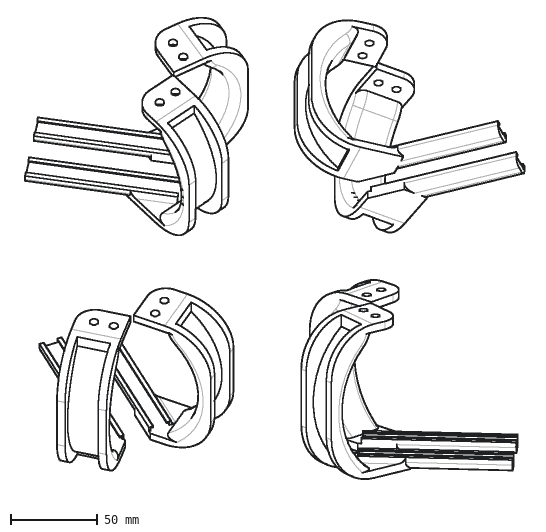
import cadquery as cq
import math

width = 30.0
depth = 50.0
height = 95.0
wall = 5.0
back_radius = 30.0

bore_radius = 50.0
bore_z = 45.0
bore_y = depth - 2 * wall - bore_radius
lip_radius = 20.0
lip_angle = math.radians(45)
edge_radius = wall

recess_width = width - 2 * wall
recess_depth = 25.0

tip_radius = 12.0
hole_diameter = 5.0
hole_first_x = 11.0
hole_spacing = 12.0
hole_y = 10.5

rail_angle = 50.0
rail_width = 14.0
rail_height = 8.0
rail_length = 90.0
rail_radius = wall
rail_start = -64.4
rail_offset = 1.9
slot_width = 12.0
slot_opening = 8.5
slot_lip = 0.9
rail_fillet = rail_height - wall

tip_clearance = 0.91
mirror_offset = width * math.sin(math.radians(rail_angle)) + tip_clearance

overcut = 6.5


def box(x0, x1, y0, y1, z0, z1):
    """Block between the given limits on each axis."""
    return cq.Workplane("XY").box(x1 - x0, y1 - y0, z1 - z0, centered=False).translate((x0, y0, z0))


def outer_block():
    """Full block with the two rounded corners at the back."""
    block = box(0, width, -overcut, depth, 0, height)
    return block.edges("|X and >Y").fillet(back_radius)


def back_wall():
    """Wall with the curved inside, its inner edges rounded."""
    def bore_point(angle, radius=bore_radius):
        return (bore_y + radius * math.cos(angle), bore_z + radius * math.sin(angle))

    foot_angle = -math.asin(bore_z / bore_radius)
    lip_y, lip_z = bore_point(lip_angle, bore_radius + lip_radius)

    def lip_point(angle):
        return (lip_y - lip_radius * math.cos(angle), lip_z - lip_radius * math.sin(angle))

    lip_end = math.asin((lip_z - height) / lip_radius)
    profile = (
        cq.Workplane("YZ")
        .moveTo(*bore_point(foot_angle))
        .threePointArc(bore_point((foot_angle + lip_angle) / 2), bore_point(lip_angle))
        .threePointArc(lip_point((lip_angle + lip_end) / 2), lip_point(lip_end))
        .lineTo(depth, height)
        .lineTo(depth, 0)
        .close()
    )
    solid = profile.extrude(width)
    side_bore_edges = solid.faces("<X or >X").edges(cq.selectors.RadiusNthSelector(-1))
    return side_bore_edges.fillet(edge_radius)


def top_plate():
    """Plate with one rounded tip corner and two holes."""
    plate = box(0, width, 0, depth, height - wall, height)
    plate = plate.edges("|Z and <X and <Y").fillet(tip_radius)
    for i in range(2):
        hole = cq.Workplane("XY").circle(hole_diameter / 2).extrude(wall)
        position = (hole_first_x + i * hole_spacing, hole_y, height - wall)
        plate = plate.cut(hole.translate(position))
    return plate


def along_rail(shape):
    """Turn a shape drawn along Y onto the rail, its X = 0 on the rail's outer side."""
    angle = math.radians(rail_angle)
    shift = (rail_offset * math.sin(angle), -rail_offset * math.cos(angle), 0)
    return shape.rotate((0, 0, 0), (0, 0, 1), rail_angle - 90).translate(shift)


def base_plate():
    """Bottom plate, ending at the far side of the rail."""
    plate = box(0, width, -overcut, depth, 0, wall)
    keep = along_rail(box(-2 * depth, rail_width, -2 * depth, 2 * depth, 0, wall))
    return plate.intersect(keep)


def rail():
    """Rail with rounded lower edges."""
    body = box(0, rail_width, rail_start, rail_start + rail_length, 0, rail_height)
    return along_rail(body.edges("|Y and <Z").fillet(rail_radius))


def rail_blend():
    """Concave strip between the rail's outer side and the base plate."""
    mid = rail_fillet * (1 - math.sqrt(0.5))
    strip = (
        cq.Workplane("XZ")
        .moveTo(0, wall)
        .lineTo(-rail_fillet, wall)
        .threePointArc((-mid, wall + mid), (0, rail_height))
        .close()
        .extrude(-rail_length)
        .translate((0, rail_start, 0))
    )
    return along_rail(strip).intersect(box(0, width, -overcut, depth, 0, height))


def rail_slot():
    """T-slot running the whole length of the rail."""
    end = rail_start + rail_length
    middle = rail_width / 2
    slot = box(middle - slot_width / 2, middle + slot_width / 2, rail_start, end,
               wall, rail_height - slot_lip)
    opening = box(middle - slot_opening / 2, middle + slot_opening / 2, rail_start, end,
                  wall, rail_height)
    return along_rail(slot.union(opening))


def recess():
    """Outside recess whose floor runs parallel to the bore."""
    side = (width - recess_width) / 2
    pocket = box(side, side + recess_width, depth - recess_depth, depth + overcut, 0, height)
    floor = cq.Workplane("YZ").center(bore_y, bore_z).circle(bore_radius + wall).extrude(width)
    return pocket.cut(floor)


def make_clip():
    """One clip as a single solid."""
    frame = back_wall().union(top_plate()).union(base_plate())
    frame = frame.intersect(outer_block())
    return frame.union(rail()).union(rail_blend()).cut(rail_slot()).cut(recess())


def mirrored(clip):
    """Mirror a clip about the upright plane lying parallel to the rails."""
    angle = math.radians(rail_angle)
    normal = (math.sin(angle), -math.cos(angle), 0)
    point = (normal[0] * mirror_offset, normal[1] * mirror_offset, 0)
    return clip.mirror(cq.Vector(*normal), point)


first_clip = make_clip()
second_clip = mirrored(first_clip)

result = cq.Compound.makeCompound([first_clip.val(), second_clip.val()])